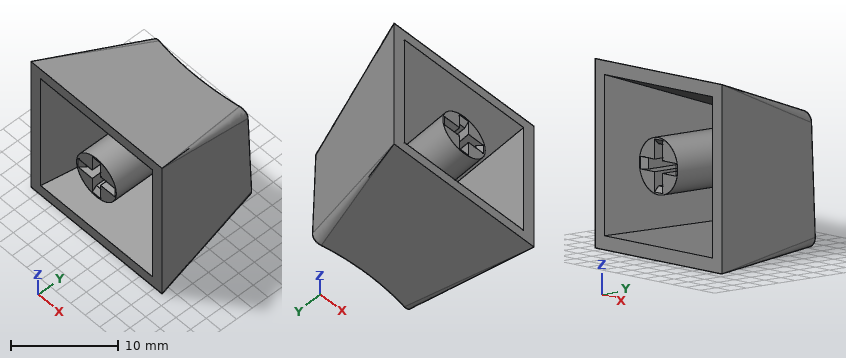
import cadquery as cq
import math

RIM_SIZE = 18.0
WALL = 1.35
TAPER_DEPTH = 14.0
SIDE_INSET = 2.67
UPPER_INSET = 4.8
LOWER_INSET = 0.42
CORNER_RADIUS = 1.05
RIM_CORNER_RADIUS = 0.01

DISH_RADIUS = 29.0
DISH_TILT = 3.0
DISH_DEPTH = 12.87
EDGE_RADIUS = 0.1
FACE_THICKNESS = 1.35
DISH_LENGTH = 2 * RIM_SIZE

STEM_DIAMETER = 5.45
SOCKET_SPAN = 4.0
SLOT_WIDTH_X = 1.15
SLOT_WIDTH_Z = 1.2
LEAD_IN = 0.52


def rectangle(width, height, radius):
    """Rectangle sketch, with rounded corners when a radius is given."""
    sketch = cq.Sketch().rect(width, height)
    if radius:
        sketch = sketch.vertices().fillet(radius).reset()
    return sketch


def tapered_block(inset, rim_radius=0, end_radius=0):
    """Ruled block from the rim, shrunk by `inset`, to the tapered section at TAPER_DEPTH."""
    rim_side = RIM_SIZE - 2 * inset
    end_width = rim_side - 2 * SIDE_INSET
    end_height = rim_side - UPPER_INSET - LOWER_INSET
    end_place = cq.Location(cq.Vector(0, (LOWER_INSET - UPPER_INSET) / 2, -TAPER_DEPTH))
    rim = rectangle(rim_side, rim_side, rim_radius)
    end = rectangle(end_width, end_height, end_radius).moved(end_place)
    return cq.Workplane("XZ").placeSketch(rim, end).loft(ruled=True)


def dish_cylinder(thickness=0):
    """Dish cylinder, grown toward the rim by `thickness`."""
    tilt = math.radians(DISH_TILT)
    direction = cq.Vector(0, -math.sin(tilt), math.cos(tilt))
    axis_middle = cq.Vector(0, DISH_DEPTH + DISH_RADIUS / math.cos(tilt), 0)
    axis_start = axis_middle - direction * (DISH_LENGTH / 2)
    return cq.Workplane(cq.Solid.makeCylinder(DISH_RADIUS + thickness, DISH_LENGTH, axis_start, direction))


def stem():
    """Round post from the rim plane into the cap."""
    return cq.Workplane("XZ").circle(STEM_DIAMETER / 2).extrude(-TAPER_DEPTH)


def socket_slot(width):
    """Slot along X with a 45 degree lead-in at both ends, running into the cap from Y = 0."""
    half = SOCKET_SPAN / 2
    return (
        cq.Workplane("XY")
        .moveTo(-half - LEAD_IN, 0)
        .lineTo(-half, LEAD_IN)
        .lineTo(-half, TAPER_DEPTH)
        .lineTo(half, TAPER_DEPTH)
        .lineTo(half, LEAD_IN)
        .lineTo(half + LEAD_IN, 0)
        .close()
        .extrude(width / 2, both=True)
    )


def cross_socket():
    """Two crossing slots, each with its own width."""
    along_x = socket_slot(SLOT_WIDTH_Z)
    along_z = socket_slot(SLOT_WIDTH_X).rotate((0, 0, 0), (0, 1, 0), 90)
    return along_x.union(along_z)


def outer_cap():
    """Solid cap with its dished and softened touch face."""
    cap = tapered_block(0, RIM_CORNER_RADIUS, CORNER_RADIUS).cut(dish_cylinder())
    return cap.faces(">Y").edges().fillet(EDGE_RADIUS)


def cavity():
    """Space inside the cap: sharp-cornered hollow around the stem, plus the cross socket in the stem."""
    space = tapered_block(WALL).cut(stem()).union(cross_socket())
    return space.cut(dish_cylinder(FACE_THICKNESS))


result = outer_cap().cut(cavity())